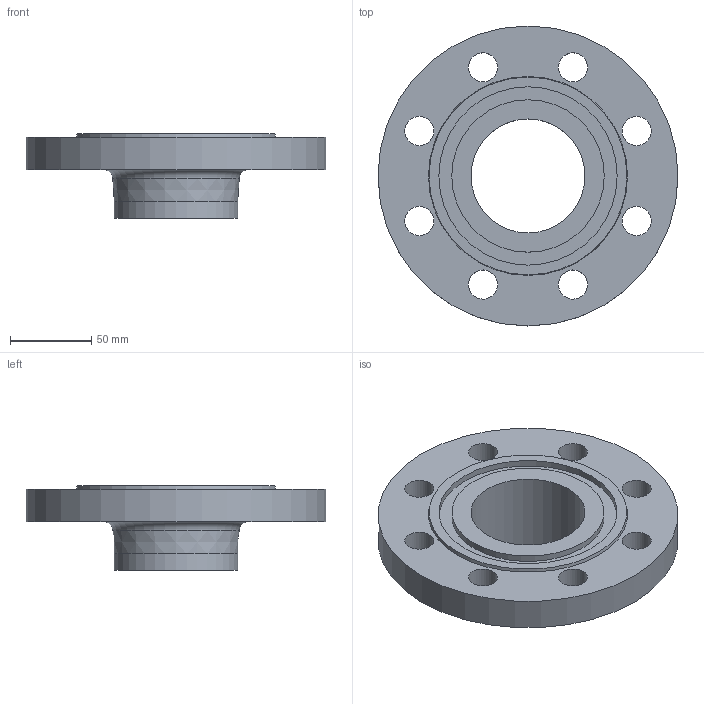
import cadquery as cq

flange_diameter = 185.0
overall_height = 52.0
bore_diameter = 70.3

flange_thickness = 22.0
raised_face_height = 2.0
raised_face_diameter = 122.0
raised_face_base_diameter = 122.7

groove_outer_diameter = 110.0
groove_inner_diameter = 94.0
groove_depth = 4.0

neck_diameter = 76.1
neck_straight_length = 10.0
hub_diameter = 78.7
hub_fillet_radius = 6.0

bolt_count = 8
bolt_circle_diameter = 145.0
bolt_hole_diameter = 18.0

plate_bottom = overall_height - flange_thickness
plate_top = overall_height - raised_face_height


def make_weld_neck():
    """Straight weld end below a slightly tapered hub, up to the plate underside."""
    taper_height = plate_bottom - neck_straight_length
    weld_end = cq.Workplane("XY").circle(neck_diameter / 2).extrude(neck_straight_length)
    hub = (
        cq.Workplane("XY", origin=(0, 0, neck_straight_length))
        .circle(neck_diameter / 2)
        .workplane(offset=taper_height)
        .circle(hub_diameter / 2)
        .loft()
    )
    return weld_end.union(hub)


def make_plate():
    """Flange disc."""
    disc_height = plate_top - plate_bottom
    return cq.Workplane("XY", origin=(0, 0, plate_bottom)).circle(flange_diameter / 2).extrude(disc_height)


def make_raised_face():
    """Sealing face standing on the plate, with a slightly conical side."""
    return (
        cq.Workplane("XY", origin=(0, 0, plate_top))
        .circle(raised_face_base_diameter / 2)
        .workplane(offset=raised_face_height)
        .circle(raised_face_diameter / 2)
        .loft()
    )


def make_groove():
    """Ring cut down from the sealing face."""
    return (
        cq.Workplane("XY", origin=(0, 0, overall_height))
        .circle(groove_outer_diameter / 2)
        .circle(groove_inner_diameter / 2)
        .extrude(-groove_depth)
    )


def make_bore():
    """Straight bore through the full height."""
    return cq.Workplane("XY").circle(bore_diameter / 2).extrude(overall_height)


def make_bolt_holes():
    """Through holes on the bolt circle, half a pitch away from the X axis."""
    half_pitch = 180.0 / bolt_count
    return (
        cq.Workplane("XY", origin=(0, 0, plate_bottom))
        .polarArray(bolt_circle_diameter / 2, half_pitch, 360, bolt_count)
        .circle(bolt_hole_diameter / 2)
        .extrude(plate_top - plate_bottom)
    )


def fillet_hub(body):
    """Round both ends of the taper: at the plate underside and at the straight weld end."""
    tolerance = 0.1
    reach = hub_diameter / 2 + tolerance
    taper_ends = cq.selectors.BoxSelector(
        (-reach, -reach, neck_straight_length - tolerance),
        (reach, reach, plate_bottom + tolerance),
        boundingbox=True,
    )
    return body.edges(taper_ends).edges("%CIRCLE").fillet(hub_fillet_radius)


body = fillet_hub(make_weld_neck().union(make_plate()))
body = body.union(make_raised_face())
result = body.cut(make_groove()).cut(make_bore()).cut(make_bolt_holes())